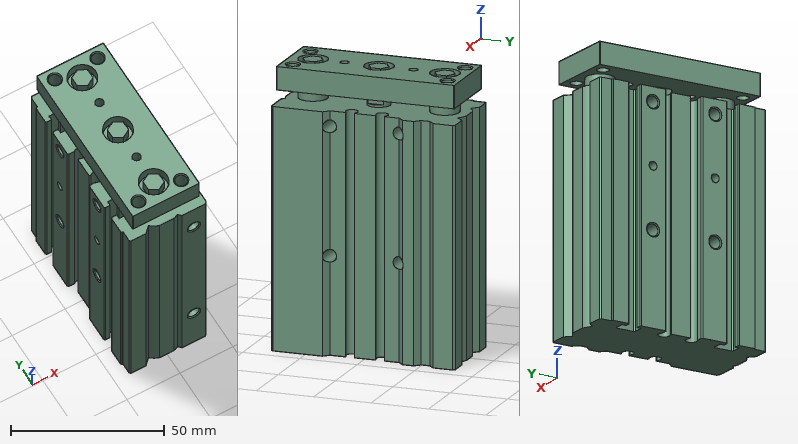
import cadquery as cq
import math

total_height = 96.0
housing_height = 83.0
plate_thickness = 8.0
plate_bottom = total_height - plate_thickness

housing_half_x = 15.0
housing_length = 64.0
housing_half_y = housing_length / 2
corner_chamfer_front = 0.5
corner_chamfer_back = 0.7

pad_height = 0.7
pad_chamfer = 0.4
pad_base_x = -housing_half_x + pad_height
outer_pad_end = 27.6
inner_pad_start = 6.8

slot_y = 18.9
slot_opening = 4.2
slot_width = 7.4
slot_lip = 2.2
slot_depth = 6.1
slot_corner = 0.5

rib_half_x = 13.1
rib_half_width = 3.6
groove_diameter = 4.1
groove_y = 5.3
groove_x = 11.0

notch_slope = housing_half_x - rib_half_x
middle_notch_start = -14.0
middle_notch_end = 13.9
side_notch_start = 17.8
side_notch_end = 24.6

rod_sleeve_diameter = 18.0
sleeve_rib_half_y = 31.6
end_recess_x = 8.2
end_recess_short_x = 5.5
end_recess_depth = 2.9

guide_rod_y = 22.99
guide_rod_diameter = 10.0
piston_rod_diameter = 8.0
rod_depth = 57.6
wrench_across_flats = 6.0
wrench_flat_bottom = housing_height + 0.8

tapped_diameter = 4.2
tapped_mouth_diameter = 5.0
pin_diameter = 3.0
pin_depth = 3.8
pin_y = 12.0
mount_y = 12.0
mount_z = (33.9, 77.9)
mount_pin_z = sum(mount_z) / 2
port_x = 10.0
port_z = (18.0, 72.1)
port_depth = 7.7

plate_x = 25.2
plate_y = 62.0
plate_edge_chamfer = 0.2
plate_hole_x = 8.1
plate_hole_y = 27.0
socket_diameter = 10.0
socket_depth = 4.0
hexagon_across_flats = 6.0


def prism(points):
    """Prism as tall as the housing from the corner points of its outline."""
    return cq.Workplane("XY").polyline(points).close().extrude(housing_height)


def block(x_start, x_end, y_start, y_end):
    """Full-height upright block between two X and two Y limits."""
    return prism([(x_start, y_start), (x_end, y_start), (x_end, y_end), (x_start, y_end)])


def cylinder(diameter, x, y, bottom, top):
    """Vertical cylinder between two heights."""
    return cq.Workplane("XY", origin=(x, y, bottom)).circle(diameter / 2).extrude(top - bottom)


def tapped_hole(start, direction, depth):
    """Cutter for a tapped hole whose mouth is countersunk at 45 degrees."""
    mouth = (tapped_mouth_diameter - tapped_diameter) / 2
    drill = cq.Solid.makeCylinder(tapped_diameter / 2, depth, start, direction)
    sink = cq.Solid.makeCone(tapped_mouth_diameter / 2, tapped_diameter / 2, mouth, start, direction)
    return cq.Workplane(drill.fuse(sink))


def housing_core():
    """Block with chamfered upright corners, without the pads."""
    front = corner_chamfer_front
    back = corner_chamfer_back
    return prism([
        (pad_base_x + front, -housing_half_y),
        (housing_half_x - back, -housing_half_y),
        (housing_half_x, -housing_half_y + back),
        (housing_half_x, housing_half_y - back),
        (housing_half_x - back, housing_half_y),
        (pad_base_x + front, housing_half_y),
        (pad_base_x, housing_half_y - front),
        (pad_base_x, -housing_half_y + front),
    ])


def pad(y_start, y_end):
    """Raised pad on the -X face with chamfered ends."""
    return prism([
        (pad_base_x, y_start),
        (-housing_half_x + pad_chamfer, y_start),
        (-housing_half_x, y_start + pad_chamfer),
        (-housing_half_x, y_end - pad_chamfer),
        (-housing_half_x + pad_chamfer, y_end),
        (pad_base_x, y_end),
    ])


def t_slot(y_center):
    """Cutter for a T-slot opening on the -X face."""
    lip_x = -housing_half_x + slot_lip
    floor_x = -housing_half_x + slot_depth
    opening = slot_opening / 2
    half = slot_width / 2
    return prism([
        (-housing_half_x, y_center - opening),
        (lip_x, y_center - opening),
        (lip_x, y_center - half),
        (floor_x - slot_corner, y_center - half),
        (floor_x, y_center - half + slot_corner),
        (floor_x, y_center + half - slot_corner),
        (floor_x - slot_corner, y_center + half),
        (lip_x, y_center + half),
        (lip_x, y_center + opening),
        (-housing_half_x, y_center + opening),
    ])


def round_groove(x_side, y_side):
    """Cutter for the round-bottomed groove next to the middle rib."""
    x = x_side * groove_x
    opening = block(x, x_side * housing_half_x, y_side * rib_half_width, y_side * inner_pad_start)
    return opening.union(cylinder(groove_diameter, x, y_side * groove_y, 0, housing_height))


def back_notch(y_start, y_end):
    """Cutter for a notch with 45 degree walls in the +X face."""
    return prism([
        (housing_half_x, y_start),
        (rib_half_x, y_start + notch_slope),
        (rib_half_x, y_end - notch_slope),
        (housing_half_x, y_end),
    ])


def end_recess(y_side, x_end):
    """Cutter for an end-face recess with 45 degree walls that leaves the rounded rib standing."""
    face_y = y_side * housing_half_y
    floor_y = y_side * (housing_half_y - end_recess_depth)
    recess = prism([
        (-end_recess_x, face_y),
        (-end_recess_x + end_recess_depth, floor_y),
        (x_end - end_recess_depth, floor_y),
        (x_end, face_y),
    ])
    sleeve = cylinder(rod_sleeve_diameter, 0, y_side * guide_rod_y, 0, housing_height)
    rib_limit = block(-housing_half_x, housing_half_x, 0, y_side * sleeve_rib_half_y)
    return recess.cut(sleeve.intersect(rib_limit))


def rods():
    """Two guide rods and the piston rod between them, up to the underside of the plate."""
    bottom = housing_height - rod_depth
    shafts = cylinder(piston_rod_diameter, 0, 0, bottom, plate_bottom)
    for y in (-guide_rod_y, guide_rod_y):
        shafts = shafts.union(cylinder(guide_rod_diameter, 0, y, bottom, plate_bottom))
    return shafts


def make_housing():
    body = housing_core()
    slot_inner = slot_y - slot_opening / 2
    slot_outer = slot_y + slot_opening / 2
    for y_start, y_end in (
        (-outer_pad_end, -slot_outer),
        (-slot_inner, -inner_pad_start),
        (inner_pad_start, slot_inner),
        (slot_outer, outer_pad_end),
    ):
        body = body.union(pad(y_start, y_end))

    body = body.cut(block(-housing_half_x, -rib_half_x, -rib_half_width, rib_half_width))
    for y_side in (-1, 1):
        body = body.cut(t_slot(y_side * slot_y))
    body = body.cut(back_notch(middle_notch_start, middle_notch_end))
    body = body.cut(back_notch(side_notch_start, side_notch_end))
    for x_side in (-1, 1):
        for y_side in (-1, 1):
            body = body.cut(round_groove(x_side, y_side))
    body = body.cut(end_recess(-1, end_recess_short_x))
    body = body.cut(end_recess(1, end_recess_x))

    along_x = cq.Vector(1, 0, 0)
    for y in (-mount_y, mount_y):
        for z in mount_z:
            start = cq.Vector(-housing_half_x, y, z)
            body = body.cut(tapped_hole(start, along_x, 2 * housing_half_x))
        pin_start = cq.Vector(-housing_half_x, y, mount_pin_z)
        pin_hole = cq.Solid.makeCylinder(pin_diameter / 2, pin_depth, pin_start, along_x)
        body = body.cut(cq.Workplane(pin_hole))

    for z in port_z:
        start = cq.Vector(port_x, -housing_half_y, z)
        body = body.cut(tapped_hole(start, cq.Vector(0, 1, 0), port_depth))

    return body.cut(rods())


def socket_ring(y):
    """Cutter for a round recess in the plate top around a standing hexagon."""
    floor_z = total_height - socket_depth
    hexagon_diameter = hexagon_across_flats / math.cos(math.radians(30))
    hexagon = (
        cq.Workplane("XY", origin=(0, y, floor_z))
        .transformed(rotate=(0, 0, 90))
        .polygon(6, hexagon_diameter)
        .extrude(socket_depth)
    )
    return cylinder(socket_diameter, 0, y, floor_z, total_height).cut(hexagon)


def make_slider():
    """End plate with its guide rods and piston rod."""
    plate = (
        cq.Workplane("XY", origin=(0, 0, plate_bottom))
        .rect(plate_x, plate_y)
        .extrude(plate_thickness)
        .edges("|Z")
        .chamfer(plate_edge_chamfer)
    )
    for x in (-plate_hole_x, plate_hole_x):
        for y in (-plate_hole_y, plate_hole_y):
            start = cq.Vector(x, y, total_height)
            plate = plate.cut(tapped_hole(start, cq.Vector(0, 0, -1), plate_thickness))
    for y in (-pin_y, pin_y):
        plate = plate.cut(cylinder(pin_diameter, 0, y, plate_bottom, total_height))
    for y in (-guide_rod_y, 0, guide_rod_y):
        plate = plate.cut(socket_ring(y))

    shafts = rods()
    flat_height = plate_bottom - wrench_flat_bottom
    for x_side in (-1, 1):
        flat_cutter = (
            cq.Workplane("XY", origin=(x_side * wrench_across_flats, 0, wrench_flat_bottom))
            .rect(wrench_across_flats, piston_rod_diameter)
            .extrude(flat_height)
        )
        shafts = shafts.cut(flat_cutter)
    return plate.union(shafts)


housing = make_housing()
slider = make_slider()
result = cq.Compound.makeCompound([housing.val(), slider.val()])